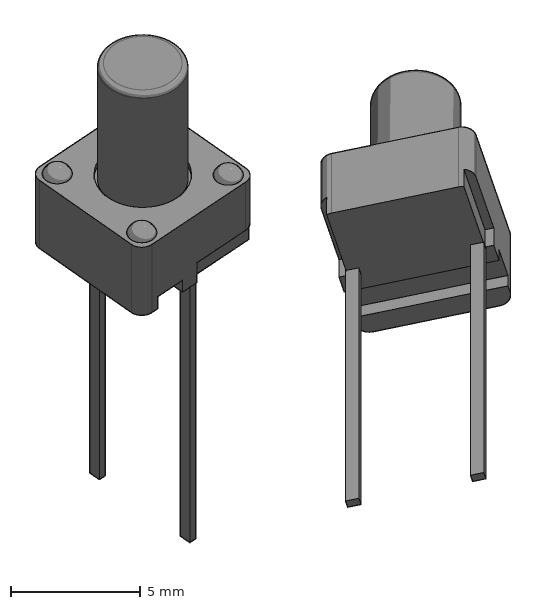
import cadquery as cq

total_height = 23.37
body_width = 6.2
body_height = 3.6
corner_radius = 0.55
lead_length = 13.9
cover_thickness = 0.23

plunger_diameter = 3.5
plunger_top = total_height - lead_length
plunger_edge_radius = 0.23
cover_hole_diameter = 3.76

rivet_pitch = 4.67
rivet_radius = 0.58
rivet_height = 0.42

lead_pitch = 5.0
lead_width = 0.54
lead_thickness = 0.33

recess_height = 1.05
recess_depth = 0.35
recess_start_y = -0.1

notch_width = 1.33
notch_height = 0.63
notch_center_y = -1.55


def make_body():
    """Rounded square housing with a shallow clearance ring around the plunger."""
    body = (
        cq.Workplane("XY")
        .rect(body_width, body_width)
        .extrude(body_height)
        .edges("|Z")
        .fillet(corner_radius)
    )
    clearance = (
        cq.Workplane("XY")
        .workplane(offset=body_height - cover_thickness)
        .circle(cover_hole_diameter / 2)
        .extrude(cover_thickness)
    )
    return body.cut(clearance)


def make_recess():
    """Cutter for the recess on the -X wall, from just past the middle to the +Y end."""
    return (
        cq.Workplane("XY")
        .box(recess_depth, body_width / 2 - recess_start_y, recess_height, centered=False)
        .translate((-body_width / 2, recess_start_y, 0))
    )


def make_notch():
    """Rectangular channel running through the underside along X."""
    return (
        cq.Workplane("XY")
        .center(0, notch_center_y)
        .rect(body_width, notch_width)
        .extrude(notch_height)
    )


def make_plunger():
    """Round plunger with a rounded top edge, rooted on the clearance floor."""
    base = body_height - cover_thickness
    return (
        cq.Workplane("XY")
        .workplane(offset=base)
        .circle(plunger_diameter / 2)
        .extrude(plunger_top - base)
        .faces(">Z")
        .edges()
        .fillet(plunger_edge_radius)
    )


def make_rivets():
    """Four spherical caps standing on the cover."""
    sphere_radius = (rivet_radius**2 + rivet_height**2) / (2 * rivet_height)
    sphere_center_z = body_height + rivet_height - sphere_radius
    return (
        cq.Workplane("XY")
        .workplane(offset=sphere_center_z)
        .rect(rivet_pitch, rivet_pitch, forConstruction=True)
        .vertices()
        .sphere(sphere_radius)
    )


def make_leads():
    """Two straight rectangular leads below the body."""
    return (
        cq.Workplane("XY")
        .pushPoints([(-lead_pitch / 2, 0), (lead_pitch / 2, 0)])
        .rect(lead_width, lead_thickness)
        .extrude(-lead_length)
    )


recess = make_recess()

result = (
    make_body()
    .cut(recess)
    .cut(recess.mirror("YZ"))
    .cut(make_notch())
    .union(make_plunger())
    .union(make_rivets())
    .union(make_leads())
)